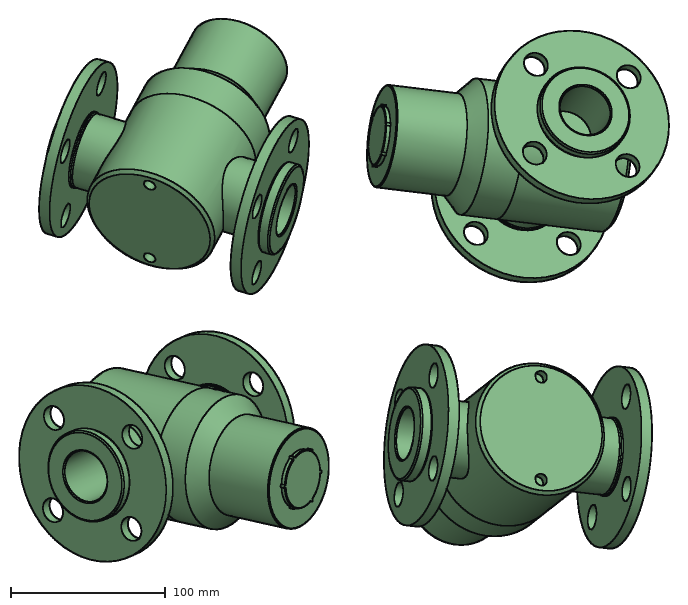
import cadquery as cq


body_radius = 89.0 / 2
front_y = -42.3
front_chamfer = 2.3
parting_y = 31.2
shoulder_y = 55.3
bonnet_neck_radius = 67 / 2
neck_start_y = shoulder_y + body_radius - bonnet_neck_radius
bonnet_end_y = 114.0
bonnet_edge_chamfer = 0.7
front_hole_diameter = 8.0
front_hole_offset = 34.9
front_hole_depth = 7.0

cap_height = 3.2
cap_radius = 19.4
cap_chamfer = 0.5
cap_nub_count = 6
cap_nub_radius = 1.0
cap_nub_pitch_radius = 19.4

port_end_x = 78.6
bore_radius = 34.0 / 2
bore_chamfer = 0.9
pipe_seat_x = 35.2
pipe_radius = 50.0 / 2
pipe_taper_x = 60.8

flange_radius = 118 / 2
flange_thickness = 7.4
flange_inner_x = 63.1
flange_outer_x = flange_inner_x + flange_thickness
bolt_hole_diameter = 16.0
bolt_circle_radius = 44.5
bolt_count = 4
first_bolt_angle = 44.3

lap_radius = 61.0 / 2
lap_chamfer = 1.0
sleeve_radius = 51.5 / 2
sleeve_taper_x = 61.9


def cylinder_x(radius, start_x, end_x):
    """Cylinder on the pipe axis."""
    return cq.Workplane("YZ").workplane(offset=start_x).circle(radius).extrude(end_x - start_x)


def revolve_about_y(profile):
    """Turn a closed (radius, y) profile about the body axis."""
    return cq.Workplane("XY").polyline(profile).close().revolve(360, (0, 0), (0, 1))


def revolve_about_x(profile):
    """Turn a closed (x, radius) profile about the pipe axis."""
    return cq.Workplane("XY").polyline(profile).close().revolve(360, (0, 0), (1, 0))


def make_housing():
    """Cylindrical body with a blind pipe socket on each side."""
    housing = revolve_about_y([
        (0, front_y),
        (body_radius - front_chamfer, front_y),
        (body_radius, front_y + front_chamfer),
        (body_radius, parting_y),
        (0, parting_y),
    ])
    for start_x, end_x in ((-body_radius, -pipe_seat_x), (pipe_seat_x, body_radius)):
        housing = housing.cut(cylinder_x(pipe_radius, start_x, end_x))
    front_holes = (
        cq.Workplane("XZ", origin=(0, front_y, 0))
        .pushPoints([(0, front_hole_offset), (0, -front_hole_offset)])
        .circle(front_hole_diameter / 2)
        .extrude(-front_hole_depth)
    )
    return housing.cut(front_holes)


def make_bonnet():
    """Rear cover that steps down through a cone."""
    return revolve_about_y([
        (0, parting_y),
        (body_radius, parting_y),
        (body_radius, shoulder_y),
        (bonnet_neck_radius, neck_start_y),
        (bonnet_neck_radius, bonnet_end_y - bonnet_edge_chamfer),
        (bonnet_neck_radius - bonnet_edge_chamfer, bonnet_end_y),
        (0, bonnet_end_y),
    ])


def make_cap():
    """Thin round cap with gripping nubs round its rim."""
    base = cq.Workplane("XZ", origin=(0, bonnet_end_y, 0))
    disc = base.circle(cap_radius).extrude(-cap_height).faces(">Y").chamfer(cap_chamfer)
    nubs = (
        base.polarArray(cap_nub_pitch_radius, 0, 360, cap_nub_count)
        .circle(cap_nub_radius)
        .extrude(-cap_height)
    )
    return disc.union(nubs)


def make_flange():
    """Loose flange on the +X side."""
    flange = cylinder_x(flange_radius, flange_inner_x, flange_outer_x)
    flange = flange.cut(cylinder_x(sleeve_radius, flange_inner_x, flange_outer_x))
    bolt_holes = (
        cq.Workplane("YZ", origin=(flange_inner_x, 0, 0))
        .polarArray(bolt_circle_radius, first_bolt_angle, 360, bolt_count)
        .circle(bolt_hole_diameter / 2)
        .extrude(flange_thickness)
    )
    return flange.cut(bolt_holes)


def make_stub_end():
    """Lap ring, sleeve and pipe on the +X side, seated in the housing socket."""
    return revolve_about_x([
        (pipe_seat_x, bore_radius),
        (pipe_seat_x, pipe_radius),
        (pipe_taper_x, pipe_radius),
        (sleeve_taper_x, sleeve_radius),
        (flange_outer_x, sleeve_radius),
        (flange_outer_x, lap_radius - lap_chamfer),
        (flange_outer_x + lap_chamfer, lap_radius),
        (port_end_x - lap_chamfer, lap_radius),
        (port_end_x, lap_radius - lap_chamfer),
        (port_end_x, bore_radius + bore_chamfer),
        (port_end_x - bore_chamfer, bore_radius),
    ])


housing = make_housing()
bonnet = make_bonnet()
cap = make_cap()
flanges = []
stub_ends = []
for turn in (0, 180):
    flanges.append(make_flange().rotate((0, 0, 0), (0, 0, 1), turn).val())
    stub_ends.append(make_stub_end().rotate((0, 0, 0), (0, 0, 1), turn).val())

result = cq.Compound.makeCompound([housing.val(), bonnet.val(), cap.val(), *flanges, *stub_ends])